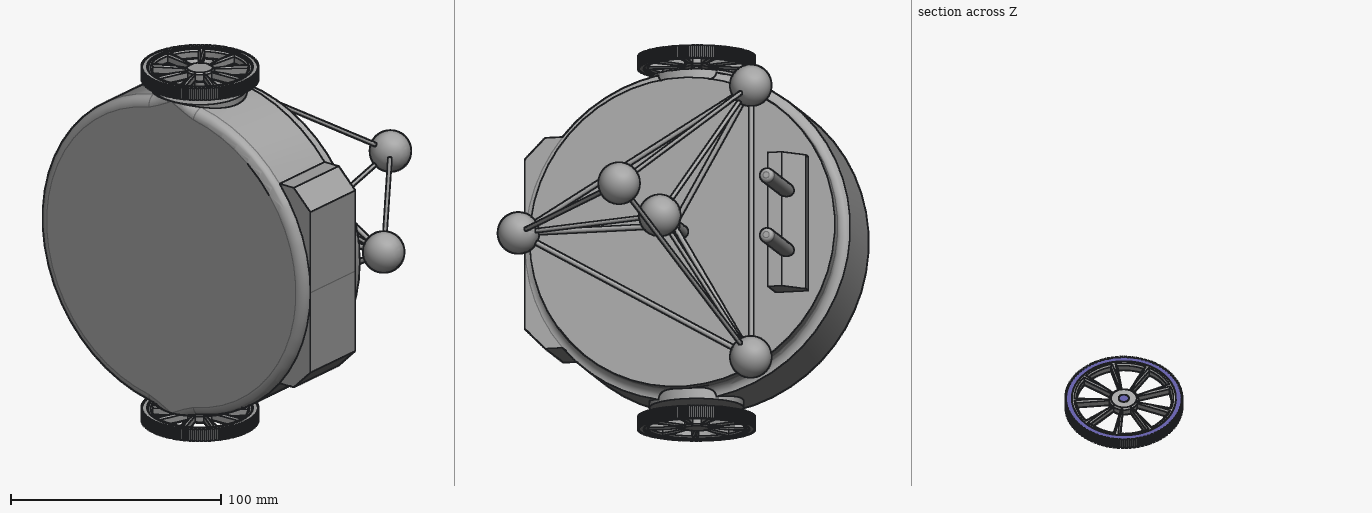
import cadquery as cq
import math

drum_radius = 80.0
drum_height = 50.0
neck_radius = 75.0
neck_fillet = drum_radius - neck_radius
shoulder_height = 40.0
rim_fillet = 5.0
rim_margin = 1.0
blend_tip = 0.2

axle_height = 22.5
axle_radius = 2.5
boss_clearance = 0.01
boss_radius = axle_height - boss_clearance
boss_reach = drum_radius + boss_clearance

wheel_radius = 28.0
wheel_width = 6.0
wheel_outer_z = 90.5
wheel_inner_z = wheel_outer_z - wheel_width
tooth_count = 90
tooth_depth = 0.5
tooth_share = 0.5
recess_radius = 25.3
recess_slope = 0.6
recess_depth = 0.5
spoke_count = 9
spoke_angle = 86.0
window_span = 32.0
window_inner_radius = 7.0
window_outer_radius = 22.7
window_bevel = 0.9

side_block_half_width = 51.2
side_block_chamfer = 10.0

bracket_center_z = 0.8
bracket_width = 65.0
bracket_outer_x = -62.0
bracket_inner_x = -46.0
bracket_height = 15.0
bracket_chamfer_x = 9.3
bracket_chamfer_y = 10.0
peg_radius = 3.5
peg_x = -54.0
peg_spacing = 29.0
peg_top = 100.0
peg_fillet = 2.0

ball_radius = 10.0
ball_circle_radius = 76.13
lower_ball_height = 67.0
middle_ball = cq.Vector(0.5, 91.0, 0)
top_ball = cq.Vector(0, 170.5, 0)
rod_radius = 1.0
base_rod_radius = 1.25
base_rod_height = 66.0
stem_radius = 3.0


def cylinder(start, end, radius):
    axis = end - start
    return cq.Workplane(cq.Solid.makeCylinder(radius, axis.Length, start, axis))


def make_sharp_drum():
    """Revolved body: sharp front rim, straight wall, concave step up to the neck."""
    round_off = math.sqrt(0.5)
    neck_mid = (drum_radius - neck_fillet * round_off, shoulder_height + neck_fillet * (1 - round_off))
    return (
        cq.Workplane("XY")
        .lineTo(drum_radius, 0)
        .lineTo(drum_radius, shoulder_height)
        .threePointArc(neck_mid, (neck_radius, shoulder_height + neck_fillet))
        .lineTo(neck_radius, drum_height)
        .lineTo(0, drum_height)
        .close()
        .revolve(360, (0, 0, 0), (0, 1, 0))
    )


def make_bosses():
    start = cq.Vector(0, axle_height, -boss_reach)
    end = cq.Vector(0, axle_height, boss_reach)
    return cylinder(start, end, boss_radius)


def boss_edge_height(x):
    """Height at which the boss surface starts above the front face."""
    return axle_height - math.sqrt(axle_height**2 - x**2)


def rim_angle(x):
    """Turn about Y, from +X, to the rim point on the +Z half at this x."""
    return -math.degrees(math.acos(x / drum_radius))


def rim_section(x):
    """Waste outside the rounded rim, in the plane of +X and Y, for the rim point at this x.

    Near a boss the rounding ends on the boss, so it narrows as the boss comes down to the front face.
    """
    top = boss_edge_height(x)
    inset = math.sqrt(rim_fillet**2 - (rim_fillet - top)**2)
    half_turn = math.asin(inset / rim_fillet) / 2
    arc_mid = (
        drum_radius - inset + rim_fillet * math.sin(half_turn),
        rim_fillet * (1 - math.cos(half_turn)),
    )
    return (
        cq.Workplane("XY")
        .moveTo(drum_radius - inset, 0)
        .threePointArc(arc_mid, (drum_radius, top))
        .lineTo(drum_radius + rim_margin, top)
        .lineTo(drum_radius + rim_margin, -rim_margin)
        .lineTo(drum_radius - inset, -rim_margin)
        .close()
    )


def make_rim_cutters():
    """Cutters for the rounded rim, which leave the front face pointed at both bosses."""
    blend_end = math.sqrt(axle_height**2 - (axle_height - rim_fillet)**2)
    side_turn = rim_angle(blend_end)
    side = rim_section(blend_end).revolve(-2 * side_turn, (0, 0, 0), (0, 1, 0))
    side = side.rotate((0, 0, 0), (0, 1, 0), side_turn)

    sections = []
    for x in (blend_end, blend_end / 2, blend_tip):
        section = rim_section(x).rotate((0, 0, 0), (0, 1, 0), rim_angle(x))
        sections.append(section.wires().val())
    blend = cq.Workplane(cq.Solid.makeLoft(sections))

    right = [side, blend, blend.mirror("XY")]
    return right + [cutter.mirror("YZ") for cutter in right]


def make_drum():
    cutters = [cutter.val() for cutter in make_rim_cutters()]
    return make_sharp_drum().val().cut(*cutters)


def make_side_block():
    block = (
        cq.Workplane("XZ", origin=(0, rim_fillet, 0))
        .center(drum_radius / 2, 0)
        .rect(drum_radius, 2 * side_block_half_width)
        .extrude(rim_fillet - shoulder_height)
    )
    return block.edges("|Y and >X").chamfer(side_block_chamfer)


def make_bracket():
    top = drum_height + bracket_height
    block = (
        cq.Workplane("XY", origin=(0, 0, bracket_center_z))
        .moveTo(bracket_inner_x, drum_height)
        .lineTo(bracket_inner_x, top)
        .lineTo(bracket_outer_x + bracket_chamfer_x, top)
        .lineTo(bracket_outer_x, top - bracket_chamfer_y)
        .lineTo(bracket_outer_x, drum_height)
        .close()
        .extrude(bracket_width / 2, both=True)
    )
    for side in (-1, 1):
        z = bracket_center_z + side * peg_spacing / 2
        peg = cylinder(cq.Vector(peg_x, drum_height, z), cq.Vector(peg_x, peg_top, z), peg_radius)
        block = block.union(peg.edges(">Y").fillet(peg_fillet))
    return block


def polar(radius, degrees):
    angle = math.radians(degrees)
    return (radius * math.cos(angle), radius * math.sin(angle))


def make_wheel_disc():
    """Toothed disc, with a shallow sloped-wall recess on both faces."""
    pitch = 360 / tooth_count
    root_radius = wheel_radius - tooth_depth
    points = []
    for i in range(tooth_count):
        start = i * pitch
        land_end = start + tooth_share * pitch
        points += [
            polar(root_radius, start),
            polar(wheel_radius, start),
            polar(wheel_radius, land_end),
            polar(root_radius, land_end),
        ]
    disc = cq.Workplane("XY").polyline(points).close().extrude(wheel_width)
    floor_radius = recess_radius - recess_slope
    recess = cq.Solid.makeCone(recess_radius, floor_radius, recess_depth)
    far_recess = recess.mirror("XY", (0, 0, wheel_width / 2))
    return disc.val().cut(recess, far_recess)


def window_wire(grow, z):
    """Sector outline of a spoke opening, grown outward by an even margin, centred on +X."""
    inner = window_inner_radius - grow
    outer = window_outer_radius + grow
    half_span = math.radians(window_span / 2)
    inner_angle = math.degrees(half_span + math.asin(grow / inner))
    outer_angle = math.degrees(half_span + math.asin(grow / outer))
    return (
        cq.Workplane("XY", origin=(0, 0, z))
        .moveTo(*polar(inner, -inner_angle))
        .lineTo(*polar(outer, -outer_angle))
        .threePointArc((outer, 0), polar(outer, outer_angle))
        .lineTo(*polar(inner, inner_angle))
        .threePointArc((inner, 0), polar(inner, -inner_angle))
        .close()
        .wires()
        .val()
    )


def make_window():
    """Cutter for one opening: straight through, bevelled at both web faces."""
    low = recess_depth
    high = wheel_width - recess_depth
    levels = [(window_bevel, low), (0, low + window_bevel), (0, high - window_bevel), (window_bevel, high)]
    wires = [window_wire(grow, z) for grow, z in levels]
    return cq.Workplane(cq.Solid.makeLoft(wires, True))


def make_wheel():
    window = make_window()
    pitch = 360 / spoke_count
    cutters = []
    for i in range(spoke_count):
        angle = spoke_angle + (i + 0.5) * pitch
        cutters.append(window.rotate((0, 0, 0), (0, 0, 1), angle).val())
    wheel = cq.Workplane(make_wheel_disc().cut(*cutters))
    return wheel.translate((0, axle_height, wheel_inner_z))


def make_wheel_set():
    wheel = make_wheel()
    axle_end = wheel_outer_z - wheel_width / 2
    axle = cylinder(cq.Vector(0, axle_height, -axle_end), cq.Vector(0, axle_height, axle_end), axle_radius)
    return [axle, wheel, wheel.mirror("XY")]


def make_frame():
    """Three lower balls on a rod triangle with spokes to a stem, tied to a middle and a top ball."""
    hub = cq.Vector(0, base_rod_height, 0)
    lower_balls = []
    base_corners = []
    for angle in (0, 120, 240):
        x, z = polar(ball_circle_radius, angle)
        lower_balls.append(cq.Vector(x, lower_ball_height, z))
        base_corners.append(cq.Vector(x, base_rod_height, z))

    parts = [cylinder(cq.Vector(0, drum_height, 0), hub, stem_radius)]
    for i, ball in enumerate(lower_balls):
        parts.append(cylinder(base_corners[i - 1], base_corners[i], base_rod_radius))
        parts.append(cylinder(hub, base_corners[i], base_rod_radius))
        parts.append(cylinder(ball, middle_ball, rod_radius))
        parts.append(cylinder(ball, top_ball, rod_radius))
    for center in lower_balls + [middle_ball, top_ball]:
        parts.append(cq.Workplane(cq.Solid.makeSphere(ball_radius, center, cq.Vector(0, 0, 1), -90, 90, 360)))
    return parts


parts = [make_bosses(), make_side_block(), make_bracket()] + make_wheel_set() + make_frame()
result = cq.Workplane(make_drum().fuse(*[part.val() for part in parts])).solids()